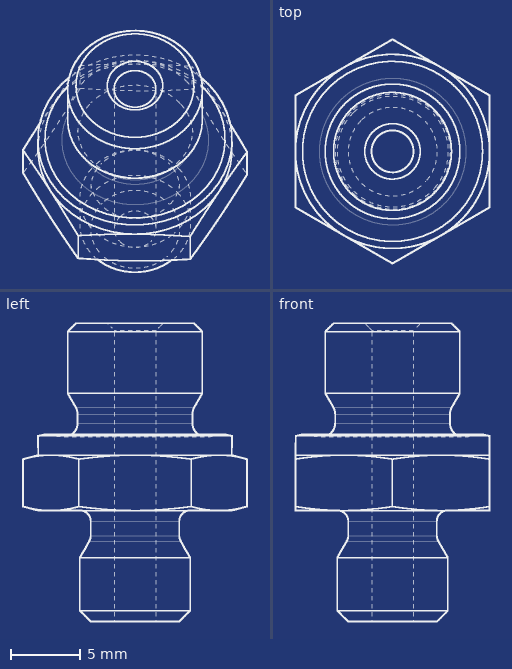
import cadquery as cq
import math

total_height = 21.5
hex_bottom = 8.0
hex_top = 12.0
flange_top = 13.5

hex_across_flats = 14.0
hex_corner_angle = math.radians(15)
flange_radius = hex_across_flats / 2
flange_chamfer_height = 0.13
sealing_rim_radius = 6.5
dish_inner_radius = 5.29

upper_radius = 4.85
upper_chamfer = 0.6
upper_length = 5.05
upper_neck_radius = 4.15
upper_fillet = 0.99

lower_radius = 4.0
lower_chamfer = 0.8
lower_length = 4.6
lower_neck_radius = 3.2
lower_fillet = 0.75

runout_angle = math.radians(30)

bore_diameter = 3.0
countersink_diameter = 4.0


def runout_points(thread_radius, neck_radius, fillet, thread_end, direction):
    """End of the run-out cone, then middle and end of the arc blending it into the neck.

    direction is +1 when the neck lies above the thread and -1 when it lies below.
    """
    def arc_point(angle):
        radius = neck_radius + fillet * (1 - math.cos(angle))
        return radius, neck_level - direction * fillet * math.sin(angle)

    cone_end_radius = neck_radius + fillet * (1 - math.cos(runout_angle))
    cone_length = (thread_radius - cone_end_radius) / math.tan(runout_angle)
    neck_level = thread_end + direction * (cone_length + fillet * math.sin(runout_angle))
    return arc_point(runout_angle), arc_point(runout_angle / 2), (neck_radius, neck_level)


def make_lower_end():
    cone_end, arc_middle, neck_start = runout_points(
        lower_radius, lower_neck_radius, lower_fillet, lower_length, 1
    )
    fillet_end_radius = lower_neck_radius + lower_fillet
    fillet_middle = (
        fillet_end_radius - lower_fillet * math.cos(math.pi / 4),
        hex_bottom - lower_fillet * (1 - math.sin(math.pi / 4)),
    )
    return (
        cq.Workplane("XZ")
        .lineTo(lower_radius - lower_chamfer, 0)
        .lineTo(lower_radius, lower_chamfer)
        .lineTo(lower_radius, lower_length)
        .lineTo(*cone_end)
        .threePointArc(arc_middle, neck_start)
        .lineTo(lower_neck_radius, hex_bottom - lower_fillet)
        .threePointArc(fillet_middle, (fillet_end_radius, hex_bottom))
        .lineTo(fillet_end_radius, hex_top)
        .lineTo(0, hex_top)
        .close()
        .revolve(360, (0, 0, 0), (0, 1, 0))
    )


def make_upper_end():
    """Sealing flange with a shallow dished face, neck and upper thread."""
    fillet_center_radius = upper_neck_radius + upper_fillet
    dish_angle = math.asin((dish_inner_radius - fillet_center_radius) / upper_fillet)
    dish_depth = (sealing_rim_radius - dish_inner_radius) * math.tan(dish_angle)
    dish_bottom = flange_top - dish_depth
    fillet_top = dish_bottom + upper_fillet * math.cos(dish_angle)
    fillet_middle = (
        fillet_center_radius - upper_fillet * math.cos(math.pi / 4),
        fillet_top - upper_fillet * math.sin(math.pi / 4),
    )
    cone_end, arc_middle, neck_end = runout_points(
        upper_radius, upper_neck_radius, upper_fillet, total_height - upper_length, -1
    )
    return (
        cq.Workplane("XZ")
        .moveTo(0, hex_top)
        .lineTo(flange_radius, hex_top)
        .lineTo(flange_radius, flange_top - flange_chamfer_height)
        .lineTo(sealing_rim_radius, flange_top)
        .lineTo(dish_inner_radius, dish_bottom)
        .threePointArc(fillet_middle, (upper_neck_radius, fillet_top))
        .lineTo(*neck_end)
        .threePointArc(arc_middle, cone_end)
        .lineTo(upper_radius, total_height - upper_length)
        .lineTo(upper_radius, total_height - upper_chamfer)
        .lineTo(upper_radius - upper_chamfer, total_height)
        .lineTo(0, total_height)
        .close()
        .revolve(360, (0, 0, 0), (0, 1, 0))
    )


def make_hexagon():
    """Hexagon with flats facing +X and -X, its corners turned off at both ends."""
    across_corners = hex_across_flats / math.cos(math.pi / 6)
    corner_radius = across_corners / 2
    corner_drop = (corner_radius - flange_radius) * math.tan(hex_corner_angle)
    prism = (
        cq.Workplane("XY", origin=(0, 0, hex_bottom))
        .polygon(6, across_corners)
        .extrude(hex_top - hex_bottom)
        .rotate((0, 0, 0), (0, 0, 1), 30)
    )
    turned_blank = (
        cq.Workplane("XZ")
        .moveTo(0, hex_bottom)
        .lineTo(flange_radius, hex_bottom)
        .lineTo(corner_radius, hex_bottom + corner_drop)
        .lineTo(corner_radius, hex_top - corner_drop)
        .lineTo(flange_radius, hex_top)
        .lineTo(0, hex_top)
        .close()
        .revolve(360, (0, 0, 0), (0, 1, 0))
    )
    return prism.intersect(turned_blank)


body = make_hexagon().union(make_lower_end()).union(make_upper_end())

result = body.faces(">Z").workplane().cskHole(bore_diameter, countersink_diameter, 90)